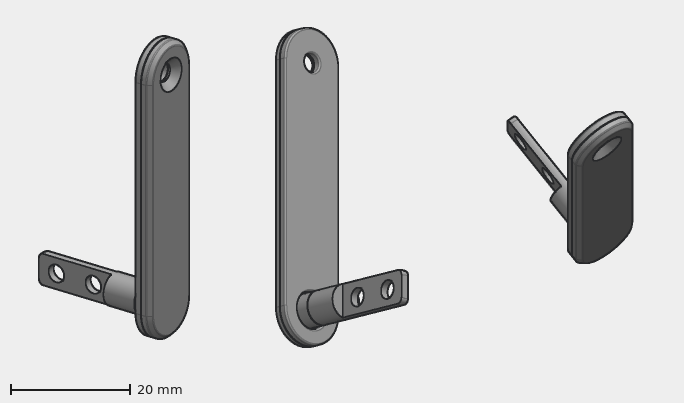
import cadquery as cq

PLATE_LENGTH = 54.6
PLATE_WIDTH = 12.0
HOLE_SPACING = PLATE_LENGTH - PLATE_WIDTH
FRONT_PLATE_THICKNESS = 1.3
BACK_PLATE_THICKNESS = 1.8
ASSEMBLY_GAP = 0.1
FRONT_EDGE_ROUNDING = 0.3
BACK_EDGE_CHAMFER = 0.8
BACK_EDGE_ROUNDING = 0.3

SMALL_HOLE_DIAMETER = 3.2
COUNTERSINK_DIAMETER = 6.0
COUNTERSINK_ANGLE = 90.0
COLLAR_HOLE_DIAMETER = 6.5

OVERALL_DEPTH = 27.0
SHAFT_DIAMETER = 6.0
COLLAR_PROJECTION = 2.2
TAB_LENGTH = 15.1
TAB_THICKNESS = 1.5
TIP_ROUNDING = 1.0
TAB_HOLE_DIAMETER = 3.2
TAB_HOLE_INSET = 3.65
TAB_HOLE_PITCH = 7.7

BACK_PLATE_X = FRONT_PLATE_THICKNESS + ASSEMBLY_GAP
STACK_END_X = BACK_PLATE_X + BACK_PLATE_THICKNESS
TIP_X = STACK_END_X - OVERALL_DEPTH
STEP_X = TIP_X + TAB_LENGTH
COLLAR_X = -COLLAR_PROJECTION
SHAFT_END_X = COLLAR_X - ASSEMBLY_GAP


def cross_section(x, z=0.0):
    """Workplane across the X axis, facing +X, with its local x direction along +Z."""
    return cq.Workplane(cq.Plane(origin=(x, 0, z), xDir=(0, 0, 1), normal=(1, 0, 0)))


def cylinder(diameter, start_x, end_x):
    """Cylinder on the shaft axis between two X positions."""
    return cross_section(start_x).circle(diameter / 2).extrude(end_x - start_x)


def plate_blank(start_x, thickness):
    """Upright plate with round ends, the lower one centred on the shaft axis."""
    return cross_section(start_x, HOLE_SPACING / 2).slot2D(PLATE_LENGTH, PLATE_WIDTH).extrude(thickness)


def make_front_plate():
    """Plate with a small upper hole and a clearance hole for the collar, rounded on its -X edges."""
    plate = plate_blank(0, FRONT_PLATE_THICKNESS)
    small_hole = cross_section(0, HOLE_SPACING).circle(SMALL_HOLE_DIAMETER / 2).extrude(FRONT_PLATE_THICKNESS)
    collar_hole = cylinder(COLLAR_HOLE_DIAMETER, 0, FRONT_PLATE_THICKNESS)
    plate = plate.cut(small_hole).cut(collar_hole)
    return plate.faces("<X").edges().fillet(FRONT_EDGE_ROUNDING)


def make_back_plate():
    """Plate with a softened chamfer around its +X face and a countersunk upper hole."""
    plate = plate_blank(BACK_PLATE_X, BACK_PLATE_THICKNESS)
    plate = plate.faces(">X").edges().chamfer(BACK_EDGE_CHAMFER)
    outline_edges = plate.edges("(|Z or %CIRCLE) and (not <X)")
    plate = outline_edges.fillet(BACK_EDGE_ROUNDING)
    hole_centre = plate.copyWorkplane(cross_section(STACK_END_X, HOLE_SPACING))
    return hole_centre.cskHole(SMALL_HOLE_DIAMETER, COUNTERSINK_DIAMETER, COUNTERSINK_ANGLE)


def make_collar():
    """Spacer between the shaft and the back plate, passing through the front plate."""
    return cylinder(SHAFT_DIAMETER, COLLAR_X, BACK_PLATE_X)


def make_shaft():
    """Shaft whose rounded end is cut down to a flat tab with two cross holes."""
    tab_rod = cylinder(SHAFT_DIAMETER, TIP_X, STEP_X).faces("<X").edges().fillet(TIP_ROUNDING)
    flats = cq.Workplane("XY").box(2 * OVERALL_DEPTH, TAB_THICKNESS, SHAFT_DIAMETER)
    tab = tab_rod.intersect(flats)
    first_hole_x = TIP_X + TAB_HOLE_INSET
    tab_holes = (
        cq.Workplane("XZ", origin=(0, TAB_THICKNESS / 2, 0))
        .pushPoints([(first_hole_x, 0), (first_hole_x + TAB_HOLE_PITCH, 0)])
        .circle(TAB_HOLE_DIAMETER / 2)
        .extrude(TAB_THICKNESS)
    )
    return cylinder(SHAFT_DIAMETER, STEP_X, SHAFT_END_X).union(tab).cut(tab_holes)


front_plate = make_front_plate()
back_plate = make_back_plate()
collar = make_collar()
shaft = make_shaft()

result = cq.Compound.makeCompound([front_plate.val(), back_plate.val(), collar.val(), shaft.val()])